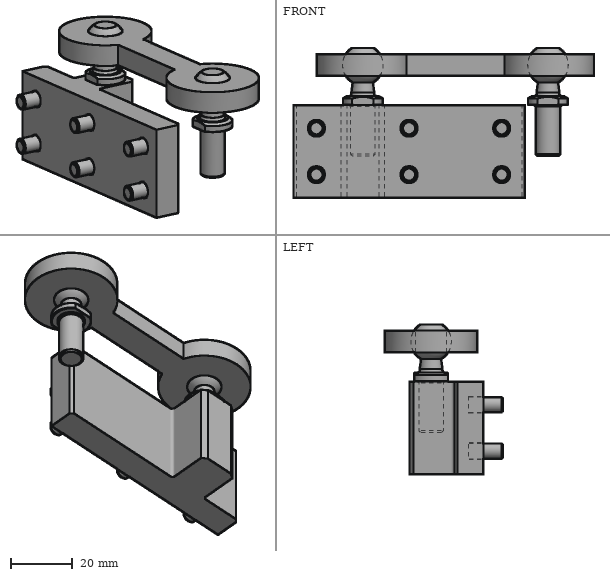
import cadquery as cq
import math

plate_length = 74.9
plate_height = 30.0
plate_thickness = 9.5
boss_width = 14.0
boss_back = 24.0
plate_chamfer = 1.0
boss_chamfer_width = 1.9
boss_chamfer_depth = 1.3
boss_root_fillet = 1.0

pin_diameter = 5.0
pin_hole_diameter = 5.5
pin_hole_depth = 4.9
pin_protrusion = 6.2
pin_tip_chamfer = 0.5
pin_edge_distance = 7.5
pin_columns = 3
pin_rows = 2

stud_x = 22.5
stud_spacing = 59.9
stud_y = 17.0
ball_diameter = 13.2
ball_centre_height = 13.0
ball_flat_height = 18.5
neck_diameter = 6.6
neck_base_diameter = 7.5
neck_base_height = 4.1
neck_foot_diameter = 8.5
neck_foot_sag = 0.2
collar_diameter = 13.0
collar_top_diameter = 10.0
collar_height = 2.9
collar_edge_height = 2.1
collar_across_flats = 11.0
collar_bottom_chamfer = 0.2
shank_diameter = 8.0
shank_length = 16.5
shank_tip_chamfer = 0.6
shank_shoulder = 0.5

link_end_diameter = 30.0
link_thickness = 7.0
link_bar_width = 10.0

boss_left = stud_x - boss_width / 2
boss_right = stud_x + boss_width / 2
stud_positions = [stud_x, stud_x + stud_spacing]
pin_pitch_x = (plate_length - 2 * pin_edge_distance) / (pin_columns - 1)
pin_pitch_z = (plate_height - 2 * pin_edge_distance) / (pin_rows - 1)
pin_positions = [
    (pin_edge_distance + column * pin_pitch_x, pin_edge_distance + row * pin_pitch_z)
    for column in range(pin_columns)
    for row in range(pin_rows)
]
ball_radius = ball_diameter / 2
ball_centre_z = plate_height + ball_centre_height


def make_stud(x):
    """Ball stud revolved about a vertical axis, with two wrench flats on the collar."""
    neck_radius = neck_diameter / 2
    shank_radius = shank_diameter / 2
    ball_flat_rise = ball_flat_height - ball_centre_height
    ball_flat_radius = math.sqrt(ball_radius**2 - ball_flat_rise**2)
    neck_top_height = ball_centre_height - math.sqrt(ball_radius**2 - neck_radius**2)
    foot_middle = (
        (neck_base_diameter + neck_foot_diameter) / 4 - neck_foot_sag,
        (neck_base_height + collar_height) / 2 - neck_foot_sag,
    )
    profile = (
        cq.Workplane("XZ")
        .moveTo(0, -shank_length)
        .lineTo(shank_radius - shank_tip_chamfer, -shank_length)
        .lineTo(shank_radius, shank_tip_chamfer - shank_length)
        .lineTo(shank_radius, -shank_shoulder)
        .lineTo(shank_radius + shank_shoulder, 0)
        .lineTo(collar_diameter / 2 - collar_bottom_chamfer, 0)
        .lineTo(collar_diameter / 2, collar_bottom_chamfer)
        .lineTo(collar_diameter / 2, collar_edge_height)
        .lineTo(collar_top_diameter / 2, collar_height)
        .lineTo(neck_foot_diameter / 2, collar_height)
        .threePointArc(foot_middle, (neck_base_diameter / 2, neck_base_height))
        .lineTo(neck_radius, neck_top_height)
        .threePointArc((ball_radius, ball_centre_height), (ball_flat_radius, ball_flat_height))
        .lineTo(0, ball_flat_height)
        .close()
    )
    turned = profile.revolve(360, (0, 0), (0, 1))
    collar_slab = cq.Workplane("XY").box(
        collar_diameter, collar_diameter, collar_height, centered=(True, True, False)
    )
    flats_gap = cq.Workplane("XY").box(
        collar_diameter, collar_across_flats, collar_height, centered=(True, True, False)
    )
    stud = turned.cut(collar_slab.cut(flats_gap))
    return stud.translate((x, stud_y, plate_height))


def make_pin(x, z):
    """Round pin standing on the floor of its hole, chamfered at its front tip."""
    return (
        cq.Workplane("XZ", origin=(x, pin_hole_depth, z))
        .circle(pin_diameter / 2)
        .extrude(pin_hole_depth + pin_protrusion)
        .faces("<Y")
        .chamfer(pin_tip_chamfer)
    )


def make_plate(seated_stud):
    """Plate with boss, blind clearance holes for the pins and a blind seat for one stud."""
    plate = (
        cq.Workplane("XY")
        .lineTo(plate_length, 0)
        .lineTo(plate_length, plate_thickness - plate_chamfer)
        .lineTo(plate_length - plate_chamfer, plate_thickness)
        .lineTo(boss_right + boss_root_fillet, plate_thickness)
        .radiusArc((boss_right, plate_thickness + boss_root_fillet), boss_root_fillet)
        .lineTo(boss_right, boss_back - boss_chamfer_depth)
        .lineTo(boss_right - boss_chamfer_width, boss_back)
        .lineTo(boss_left + boss_chamfer_width, boss_back)
        .lineTo(boss_left, boss_back - boss_chamfer_depth)
        .lineTo(boss_left, plate_thickness + boss_root_fillet)
        .radiusArc((boss_left - boss_root_fillet, plate_thickness), boss_root_fillet)
        .lineTo(plate_chamfer, plate_thickness)
        .lineTo(0, plate_thickness - plate_chamfer)
        .close()
        .extrude(plate_height)
    )
    pin_holes = (
        cq.Workplane("XZ")
        .pushPoints(pin_positions)
        .circle(pin_hole_diameter / 2)
        .extrude(-pin_hole_depth)
    )
    return plate.cut(pin_holes).cut(seated_stud)


def make_link():
    """Two round ends joined by a bar, with a spherical socket in each end."""
    ends = (
        cq.Workplane("XY")
        .pushPoints([(x, stud_y) for x in stud_positions])
        .circle(link_end_diameter / 2)
        .extrude(link_thickness)
    )
    bar = (
        cq.Workplane("XY")
        .center(sum(stud_positions) / 2, stud_y)
        .rect(stud_spacing, link_bar_width)
        .extrude(link_thickness)
    )
    link = ends.union(bar).translate((0, 0, ball_centre_z - link_thickness / 2))
    for x in stud_positions:
        socket = cq.Workplane("XY").sphere(ball_radius).translate((x, stud_y, ball_centre_z))
        link = link.cut(socket)
    return link


studs = [make_stud(x) for x in stud_positions]
pins = [make_pin(x, z) for x, z in pin_positions]
plate = make_plate(studs[0])
link = make_link()

result = cq.Compound.makeCompound([
    plate.val(),
    link.val(),
    *[stud.val() for stud in studs],
    *[pin.val() for pin in pins],
])